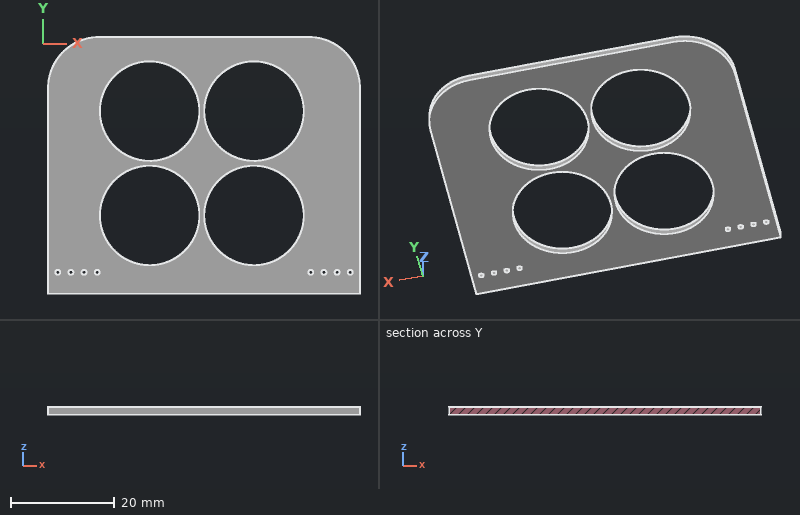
import cadquery as cq

plate_width = 60.45
plate_depth = 49.75
plate_thickness = 1.6
corner_radius = 10.0

opening_diameter = 19.2
opening_pitch = 20.2
opening_grid_x = -0.4
opening_grid_y = 25.25

pin_hole_diameter = 0.9
pin_hole_pitch = 2.55
pin_holes_per_row = 4
pin_hole_side_margin = 1.95
pin_hole_front_margin = 4.2


def make_plate():
    """Flat plate with its two rear corners rounded."""
    plate = cq.Workplane("XY").box(
        plate_width, plate_depth, plate_thickness, centered=(True, False, False)
    )
    return plate.edges("|Z and >Y").fillet(corner_radius)


def cut_openings(plate):
    """Cut the 2 x 2 grid of large openings through the plate."""
    return (
        plate.faces(">Z")
        .workplane(origin=(opening_grid_x, opening_grid_y, plate_thickness))
        .rarray(opening_pitch, opening_pitch, 2, 2)
        .hole(opening_diameter)
    )


def cut_pin_holes(plate):
    """Cut a mirrored row of pin holes inward from each side."""
    outer_x = plate_width / 2 - pin_hole_side_margin
    centres = [
        (side * (outer_x - index * pin_hole_pitch), pin_hole_front_margin)
        for side in (-1, 1)
        for index in range(pin_holes_per_row)
    ]
    return (
        plate.faces(">Z")
        .workplane(origin=(0, 0, plate_thickness))
        .pushPoints(centres)
        .hole(pin_hole_diameter)
    )


result = cut_pin_holes(cut_openings(make_plate()))